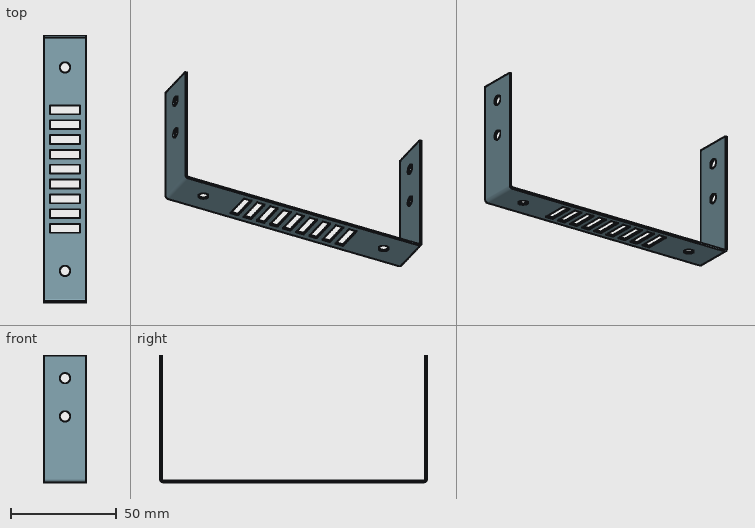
import cadquery as cq

width = 20.0
length = 126.0
height = 59.9
thickness = 1.0
inner_bend_radius = 0.6
outer_bend_radius = inner_bend_radius + thickness

hole_diameter = 4.8
base_hole_spacing = 96.0
leg_hole_heights = (31.3, 49.3)

slot_count = 9
slot_length = 14.0
slot_width = 4.0
slot_row_span = 56.0
slot_pitch = slot_row_span / (slot_count - 1)


def bent_strap():
    """Flat base with an upright leg at each end, rounded at both bends."""
    outer = cq.Workplane("XY").box(width, length, height, centered=(True, True, False))
    outer = outer.edges("|X and <Z").fillet(outer_bend_radius)
    inner = (
        cq.Workplane("XY")
        .workplane(offset=thickness)
        .box(width, length - 2 * thickness, height, centered=(True, True, False))
        .edges("|X and <Z")
        .fillet(inner_bend_radius)
    )
    return outer.cut(inner)


def base_holes():
    """Mounting hole near each end of the base."""
    return (
        cq.Workplane("XY")
        .rarray(1.3, base_hole_spacing, 1, 2)
        .circle(hole_diameter / 2)
        .extrude(thickness)
    )


def vent_slots():
    """Rectangular slots across the base, evenly spaced about its middle."""
    return (
        cq.Workplane("XY")
        .rarray(1.3, slot_pitch, 1, slot_count)
        .rect(slot_length, slot_width)
        .extrude(thickness)
    )


def leg_holes():
    """Pair of holes, one above the other, running through both legs."""
    return (
        cq.Workplane("XZ")
        .pushPoints([(0, hole_height) for hole_height in leg_hole_heights])
        .circle(hole_diameter / 2)
        .extrude(length / 2, both=True)
    )


result = bent_strap().cut(base_holes()).cut(vent_slots()).cut(leg_holes())